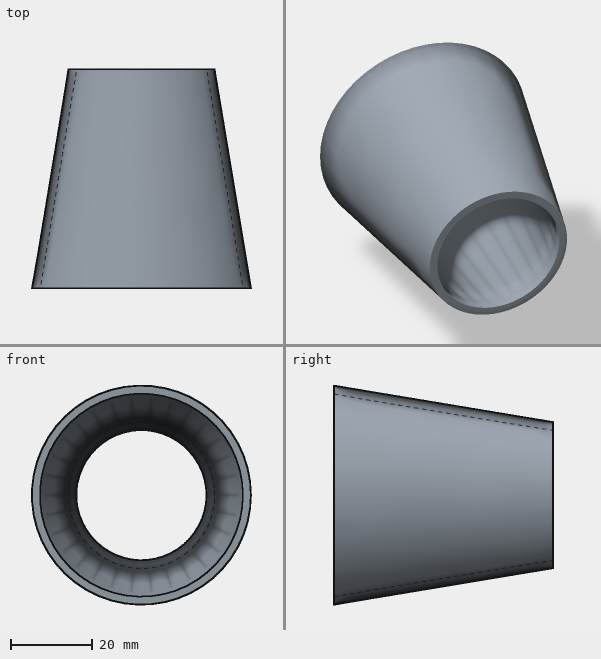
import cadquery as cq

length = 54.0
wide_diameter = 54.0
narrow_diameter = 36.0
wall = 2.0

wide_radius = wide_diameter / 2
narrow_radius = narrow_diameter / 2

wall_section = [
    (wide_radius - wall, -length / 2),
    (wide_radius, -length / 2),
    (narrow_radius, length / 2),
    (narrow_radius - wall, length / 2),
]

result = cq.Workplane("XY").polyline(wall_section).close().revolve(360, (0, 0, 0), (0, 1, 0))